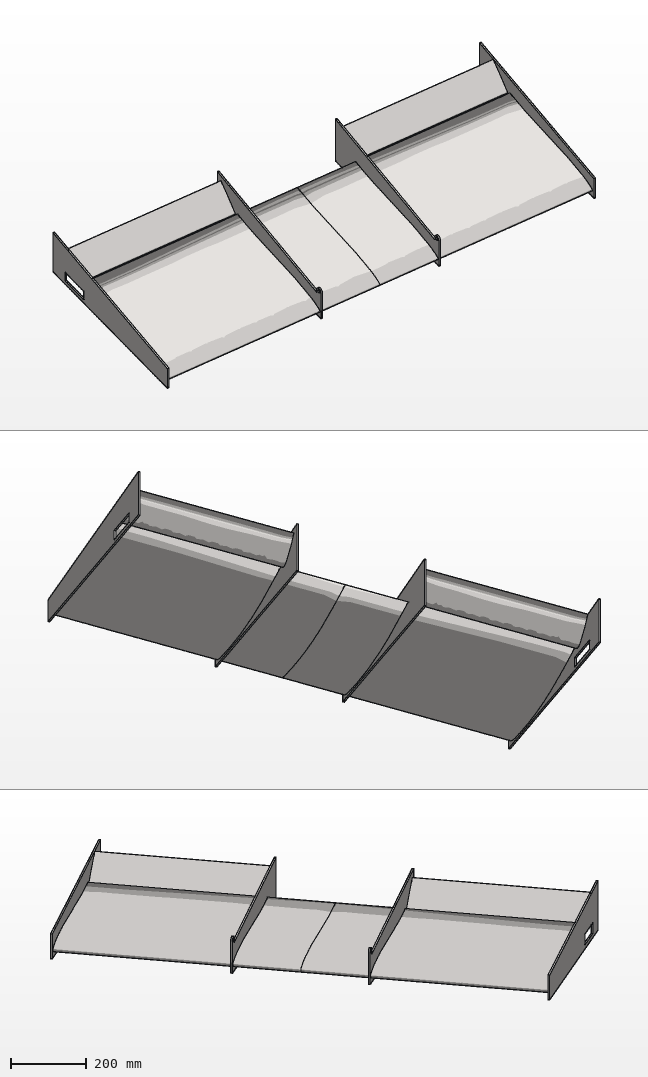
import cadquery as cq


SPAN = 1360.0
PLATE_THICKNESS = 5.0
INNER_PLATE_SPACING = 375.0
HALF_SPAN = SPAN / 2
INNER_PLATE_START = INNER_PLATE_SPACING / 2 - PLATE_THICKNESS / 2
INNER_PLATE_END = INNER_PLATE_START + PLATE_THICKNESS
OUTER_PLATE_START = HALF_SPAN - PLATE_THICKNESS

OUTER_LENGTH = 550.0
OUTER_REAR_HEIGHT = 140.0
OUTER_FRONT_HEIGHT = 70.0
SLOT_LENGTH = 90.0
SLOT_HEIGHT = 30.0
SLOT_REAR_X = 57.5
SLOT_BOTTOM_Z = 12.0

INNER_REAR_X = 48.5
INNER_FRONT_X = 546.0
INNER_REAR_HEIGHT = 150.0
INNER_LUG_ROOT_HEIGHT = 80.0
LUG_WIDTH = 20.0
LUG_RADIUS = LUG_WIDTH / 2
LUG_HOLE_DIAMETER = 9.0
LUG_HOLE_X = INNER_FRONT_X - LUG_RADIUS
LUG_HOLE_Z = 90.5

WING_TRAILING_EDGE = (146.0, 72.0)
WING_LEADING_EDGE = (542.0, 22.5)
WING_UPPER_POINTS = [(210.0, 63.0), (310.0, 57.0), (409.0, 52.5), (495.0, 41.5), (525.0, 33.5)]
WING_LOWER_POINTS = [(210.0, 49.5), (307.0, 21.5), (389.0, 9.0), (446.0, 6.3), (507.0, 8.3), (530.0, 13.0)]

FLAP_TRAILING_EDGE = (66.0, 131.0)
FLAP_LEADING_EDGE = (135.0, 63.0)
FLAP_UPPER_POINTS = [(98.0, 102.0), (128.0, 72.0)]
FLAP_LOWER_POINTS = [(89.0, 96.0), (106.0, 76.5), (126.0, 61.5)]


def extruded_along_y(profile, start, end):
    """Extrude an XZ profile from Y = start to Y = end."""
    return profile.extrude(start - end).translate((0, start, 0))


def airfoil(trailing_edge, leading_edge, upper_points, lower_points, start, end):
    """Solid with a sharp trailing edge and a rounded leading edge."""
    section = (
        cq.Workplane("XZ")
        .moveTo(*trailing_edge)
        .spline([*upper_points, leading_edge, *reversed(lower_points), trailing_edge], includeCurrent=True)
        .close()
    )
    return extruded_along_y(section, start, end)


def main_wing():
    """Right-hand half (+Y) of the main wing, from the centre to the inner face of the end plate."""
    return airfoil(
        WING_TRAILING_EDGE, WING_LEADING_EDGE, WING_UPPER_POINTS, WING_LOWER_POINTS, 0, OUTER_PLATE_START
    )


def flap():
    """Flap on the +Y side, between the inner plate and the end plate."""
    return airfoil(
        FLAP_TRAILING_EDGE, FLAP_LEADING_EDGE, FLAP_UPPER_POINTS, FLAP_LOWER_POINTS,
        INNER_PLATE_END, OUTER_PLATE_START,
    )


def outer_plate():
    """End plate on the +Y side, with a slot below the flap."""
    outline = cq.Workplane("XZ").polyline(
        [(0, 0), (OUTER_LENGTH, 0), (OUTER_LENGTH, OUTER_FRONT_HEIGHT), (0, OUTER_REAR_HEIGHT)]
    ).close()
    slot_outline = (
        cq.Workplane("XZ")
        .center(SLOT_REAR_X + SLOT_LENGTH / 2, SLOT_BOTTOM_Z + SLOT_HEIGHT / 2)
        .rect(SLOT_LENGTH, SLOT_HEIGHT)
    )
    plate = extruded_along_y(outline, OUTER_PLATE_START, HALF_SPAN)
    slot = extruded_along_y(slot_outline, OUTER_PLATE_START, HALF_SPAN)
    return plate.cut(slot)


def inner_plate():
    """Inner plate on the +Y side, cut out for the wing that passes through it."""
    lug_rear_x = INNER_FRONT_X - LUG_WIDTH
    outline = (
        cq.Workplane("XZ")
        .moveTo(INNER_REAR_X, 0)
        .lineTo(INNER_FRONT_X, 0)
        .lineTo(INNER_FRONT_X, LUG_HOLE_Z)
        .threePointArc((LUG_HOLE_X, LUG_HOLE_Z + LUG_RADIUS), (lug_rear_x, LUG_HOLE_Z))
        .lineTo(lug_rear_x, INNER_LUG_ROOT_HEIGHT)
        .lineTo(INNER_REAR_X, INNER_REAR_HEIGHT)
        .close()
    )
    hole_outline = cq.Workplane("XZ").center(LUG_HOLE_X, LUG_HOLE_Z).circle(LUG_HOLE_DIAMETER / 2)
    plate = extruded_along_y(outline, INNER_PLATE_START, INNER_PLATE_END)
    hole = extruded_along_y(hole_outline, INNER_PLATE_START, INNER_PLATE_END)
    return plate.cut(hole).cut(main_wing())


bodies = []
for build_body in (main_wing, flap, outer_plate, inner_plate):
    body = build_body()
    bodies.append(body.val())
    bodies.append(body.mirror("XZ").val())

result = cq.Compound.makeCompound(bodies)